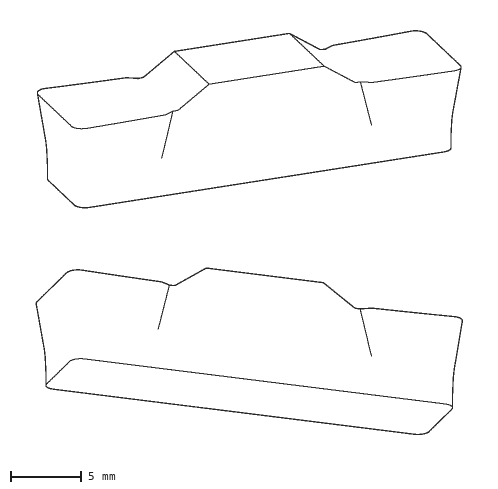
import cadquery as cq
import math

length = 29.95
height = 8.1
head_width = 8.0
body_width = 6.6

shelf_z = 6.45
crest_z = 6.47
dish_start_y = 8.45
ridge_half_length = 4.43
ridge_slope = 34.5
ridge_foot_radius = 0.45
land_length = 0.75
land_drop = 0.03

relief_angle = 7.2
relief_blend_z = 2.55
relief_blend_radius = 4.5

corner_radius = 0.85
side_relief_angle = 7.0
side_back_taper = 2.5
shoulder_y = 7.97
shoulder_angle = 30.0
shoulder_radius = 0.3
head_inner_half_width = 2.4
overrun = 1.5

head_seat_y = 9.0
head_seat_z = 3.6

half_length = length / 2
edge_z = crest_z - land_drop
foot_y = half_length - (edge_z - relief_blend_z) * math.tan(math.radians(relief_angle))
ridge_foot_y = ridge_half_length + (height - shelf_z) / math.tan(math.radians(ridge_slope))


def make_profile():
    """Side silhouette of the insert, extruded wider than the heads."""
    land_y = half_length - land_length
    land_mid = (half_length - land_length / 2, crest_z - land_drop / 4)
    dish_mid_y = (dish_start_y + land_y) / 2
    dish_mid_z = shelf_z + (crest_z - shelf_z) / 4
    profile = (
        cq.Workplane("YZ")
        .moveTo(-foot_y, 0)
        .lineTo(foot_y, 0)
        .lineTo(foot_y, relief_blend_z)
        .lineTo(half_length, edge_z)
        .threePointArc(land_mid, (land_y, crest_z))
        .threePointArc((dish_mid_y, dish_mid_z), (dish_start_y, shelf_z))
        .lineTo(ridge_foot_y, shelf_z)
        .lineTo(ridge_half_length, height)
        .lineTo(-ridge_half_length, height)
        .lineTo(-ridge_foot_y, shelf_z)
        .lineTo(-dish_start_y, shelf_z)
        .threePointArc((-dish_mid_y, dish_mid_z), (-land_y, crest_z))
        .threePointArc((-land_mid[0], land_mid[1]), (-half_length, edge_z))
        .lineTo(-foot_y, relief_blend_z)
        .close()
        .extrude(head_width, both=True)
    )
    for y in (-foot_y, foot_y):
        blend_edge = cq.selectors.NearestToPointSelector((0, y, relief_blend_z))
        profile = profile.edges(blend_edge).fillet(relief_blend_radius)
    for y in (-ridge_foot_y, ridge_foot_y):
        foot_edge = cq.selectors.NearestToPointSelector((0, y, shelf_z))
        profile = profile.edges(foot_edge).fillet(ridge_foot_radius)
    return profile


def round_corners(solid):
    """Round the upright corners between the end relief and the sides."""
    margin = 0.3
    zone = cq.selectors.BoxSelector(
        (-head_width, foot_y - margin, -margin), (head_width, half_length + margin, edge_z - margin)
    )
    corners = solid.edges(zone).edges("not |X")
    return corners.fillet(corner_radius)


def make_body(profile):
    """Straight central bar with rounded upright corners at both ends."""
    bar = cq.Workplane("XY").box(body_width, length, height, centered=(True, True, False))
    bar = bar.intersect(profile)
    half_bar = bar.intersect(
        cq.Workplane("XY").box(body_width, length, height, centered=(True, False, False))
    )
    half_bar = round_corners(half_bar)
    seat = (
        cq.Workplane("XY", origin=(0, head_seat_y, head_seat_z))
        .box(head_width, length, height, centered=(True, False, False))
    )
    half_bar = half_bar.cut(seat)
    return half_bar.union(half_bar.mirror("XZ"))


def make_head(profile):
    """Head at the +Y end, its sides tapering downward and toward the middle."""
    widest_y = half_length - corner_radius

    def half_width(y):
        return head_width / 2 - (widest_y - y) * math.tan(math.radians(side_back_taper))

    outer_y = half_length + overrun
    shoulder_x = half_width(shoulder_y)
    shoulder_depth = shoulder_x - head_inner_half_width
    inner_y = shoulder_y - shoulder_depth / math.tan(math.radians(shoulder_angle))
    right_side = [
        (head_inner_half_width, inner_y),
        (shoulder_x, shoulder_y),
        (half_width(outer_y), outer_y),
    ]
    left_side = [(-x, y) for x, y in reversed(right_side)]
    head = (
        cq.Workplane("XY", origin=(0, 0, crest_z))
        .polyline(right_side + left_side)
        .close()
        .extrude(-crest_z, taper=side_relief_angle)
    )
    for x in (-shoulder_x, shoulder_x):
        shoulder_edge = cq.selectors.NearestToPointSelector((x, shoulder_y, crest_z / 2))
        head = head.edges(shoulder_edge).fillet(shoulder_radius)
    return round_corners(head.intersect(profile))


profile = make_profile()
head = make_head(profile)
result = make_body(profile).union(head).union(head.mirror("XZ")).clean()